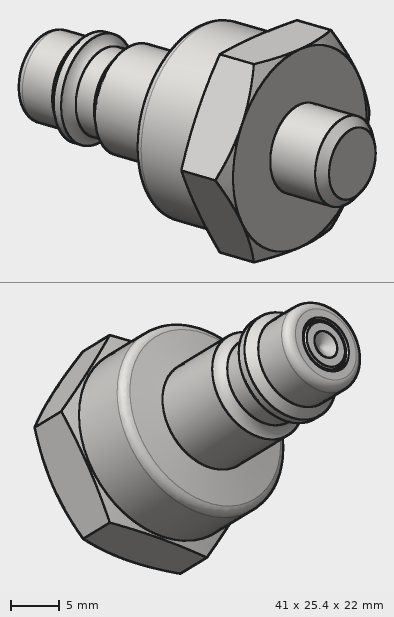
import cadquery as cq
import math

length = 41.0
collar_foot = 5.0
collar_start = 6.03
collar_end = 7.0
neck_start = 8.05
neck_end = 10.45
shank_start = 11.52
body_start = 19.95
body_corner = 20.62
hex_start = 28.0
hex_end = 34.0

tip_diameter = 10.0
shank_diameter = 12.0
neck_diameter = 9.7
body_diameter = 21.5
stub_diameter = 9.75
across_flats = 22.0

tip_fillet = 1.02
body_fillet = 1.02
neck_flank_radius = 2.0
stub_chamfer = 1.02
front_hex_angle = 13.0
rear_hex_angle = 30.0

bore_diameter = 5.6
pin_diameter = 5.45
pin_face_diameter = 5.0
bore_chamfer = 0.2
gap_depth = 0.5
dimple_diameter = 3.0
drill_point_angle = 118.0


def revolve_about_x(points):
    """Revolve a closed (x, radius) outline about the X axis."""
    return cq.Workplane("XY").polyline(points).close().revolve(360, (0, 0, 0), (1, 0, 0))


def make_plug():
    tip_radius = tip_diameter / 2
    shank_radius = shank_diameter / 2
    neck_radius = neck_diameter / 2
    body_radius = body_diameter / 2
    outline = (
        cq.Workplane("XY")
        .lineTo(0, tip_radius)
        .lineTo(collar_foot, tip_radius)
        .lineTo(collar_start, shank_radius)
        .lineTo(collar_end, shank_radius)
        .radiusArc((neck_start, neck_radius), -neck_flank_radius)
        .lineTo(neck_end, neck_radius)
        .radiusArc((shank_start, shank_radius), -neck_flank_radius)
        .lineTo(body_start, shank_radius)
        .lineTo(body_corner, body_radius)
        .lineTo(hex_start, body_radius)
        .lineTo(hex_start, 0)
        .close()
    )
    plug = outline.revolve(360, (0, 0, 0), (1, 0, 0))
    plug = plug.faces("<X").edges().fillet(tip_fillet)
    body_edges = plug.edges(cq.selectors.RadiusNthSelector(-1))
    return body_edges.edges("<X").fillet(body_fillet)


def make_hex():
    """Hexagon with corners on Y, its corners turned down to a cone at each end."""
    flat_radius = across_flats / 2
    body_radius = body_diameter / 2
    corner_radius = flat_radius / math.cos(math.radians(30))
    corner_drop = corner_radius - flat_radius
    front_setback = (corner_radius - body_radius) * math.tan(math.radians(front_hex_angle))
    rear_setback = corner_drop * math.tan(math.radians(rear_hex_angle))
    prism = (
        cq.Workplane("YZ", origin=(hex_start, 0, 0))
        .polygon(6, 2 * corner_radius)
        .extrude(hex_end - hex_start)
    )
    turned_blank = revolve_about_x([
        (hex_start, 0),
        (hex_start, body_radius),
        (hex_start + front_setback, corner_radius),
        (hex_end - rear_setback, corner_radius),
        (hex_end, flat_radius),
        (hex_end, 0),
    ])
    return prism.intersect(turned_blank)


def make_stub():
    stub = (
        cq.Workplane("YZ", origin=(hex_end, 0, 0))
        .circle(stub_diameter / 2)
        .extrude(length - hex_end)
    )
    return stub.faces(">X").edges().chamfer(stub_chamfer)


def make_pin_gap():
    """Ring cut with chamfered rims that sets the valve pin apart from the tip."""
    bore_radius = bore_diameter / 2
    pin_radius = pin_diameter / 2
    pin_face_radius = pin_face_diameter / 2
    return revolve_about_x([
        (0, pin_face_radius),
        (pin_radius - pin_face_radius, pin_radius),
        (gap_depth, pin_radius),
        (gap_depth, bore_radius),
        (bore_chamfer, bore_radius),
        (0, bore_radius + bore_chamfer),
    ])


def make_dimple():
    radius = dimple_diameter / 2
    depth = radius / math.tan(math.radians(drill_point_angle / 2))
    return revolve_about_x([(0, 0), (0, radius), (depth, 0)])


result = make_plug().union(make_hex()).union(make_stub()).cut(make_pin_gap()).cut(make_dimple())